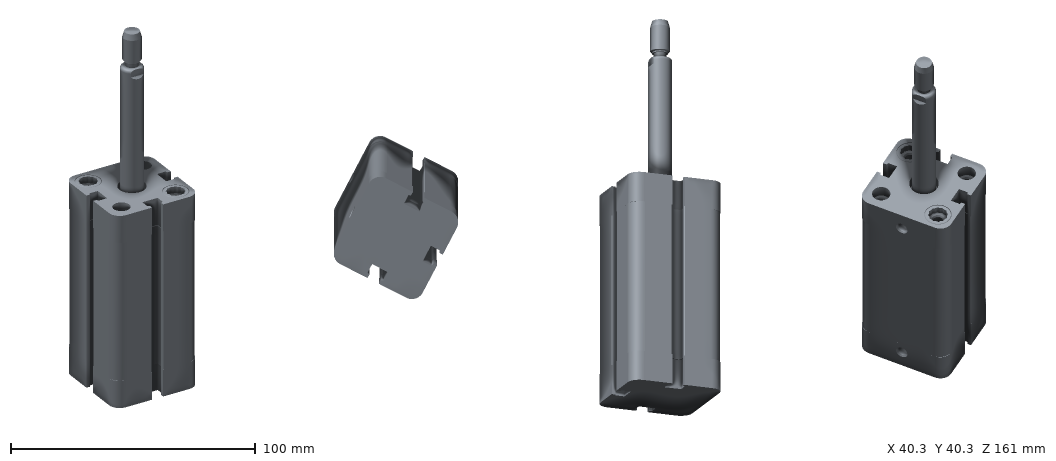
import cadquery as cq
import math

side = 40.3
cap_height = 12.5
barrel_height = 64.0
upper_cap_base = cap_height + barrel_height
housing_height = upper_cap_base + cap_height
cap_corner_radius = 5.0
barrel_corner_radius = 5.5

slot_side_angles = (-90, 0, 90)
slot_opening = 5.3
slot_lip = 1.6
slot_shoulder_run = 0.4
cap_slot_width = 7.3
cap_slot_depth = 6.0
barrel_slot_width = 6.8
barrel_slot_depth = 5.6
barrel_lip_bevel = 0.35

port_distance = 7.7
port_diameter = 5.3
port_core_diameter = 4.13
port_depth = 8.0

corner_offset = 13.0
hole_diameter = 7.5
hole_depth = 5.0
thread_diameter = 5.3
thread_core_diameter = 4.13
plain_corners = [(-corner_offset, corner_offset), (corner_offset, -corner_offset)]
socket_corners = [(-corner_offset, -corner_offset), (corner_offset, corner_offset)]

collar_diameter = 11.1
collar_rim_diameter = 10.48
collar_bevel_depth = 0.3
socket_diameter = 8.2
socket_inner_diameter = 7.5
socket_teeth = 12
socket_depth = 3.0

mouth_diameter = 12.0
mouth_inner_diameter = 11.1
mouth_depth = 4.0

rod_radius = 5.0
rod_top = 161.0
tip_radius = 4.0
tip_end_radius = 3.25
tip_bevel_height = 2.6
tip_bottom = rod_top - 12.9
tip_lower_bevel = 0.4
tip_collar_height = 0.5
neck_radius = 2.65
shoulder_height = rod_top - 15.9
shoulder_rounding = 1.4
flat_distance = 4.0
flat_bottom = rod_top - 19.1


def slot_cutter(width, depth, lip_bevel):
    """T-slot in the +X side, with a bevelled mouth if lip_bevel is not zero."""
    face = side / 2
    lip_back = face - slot_lip
    upper_half = [
        (face, slot_opening / 2 + lip_bevel),
        (face - lip_bevel, slot_opening / 2),
        (lip_back, slot_opening / 2),
        (lip_back - slot_shoulder_run, width / 2),
        (face - depth, width / 2),
    ]
    if lip_bevel == 0:
        upper_half.pop(0)
    lower_half = [(x, -y) for x, y in reversed(upper_half)]
    return cq.Workplane("XY").polyline(upper_half + lower_half).close().extrude(housing_height)


def slotted_block(height, corner_radius, cutter):
    """Square section with rounded corners and three T-slots, standing on Z = 0."""
    block = cq.Workplane("XY").rect(side, side).extrude(height).edges("|Z").fillet(corner_radius)
    for angle in slot_side_angles:
        block = block.cut(cutter.rotate((0, 0, 0), (0, 0, 1), angle))
    return block


def cone(large_diameter, small_diameter, height):
    """Cone frustum whose large end lies on Z = 0 and which narrows downwards."""
    large = large_diameter / 2
    small = small_diameter / 2
    profile = [(0, 0), (large, 0), (small, -height), (0, -height)]
    return cq.Workplane("XZ").polyline(profile).close().revolve(360, (0, 0), (0, 1))


def cylinder(diameter, depth):
    """Cylinder reaching down from Z = 0."""
    return cq.Workplane("XY").circle(diameter / 2).extrude(-depth)


def threaded_hole(diameter, core_diameter, depth):
    """Core hole with a 45 degree lead-in, reaching down from Z = 0."""
    lead_in = cone(diameter, core_diameter, (diameter - core_diameter) / 2)
    return lead_in.union(cylinder(core_diameter, depth))


def plain_cap(port_z):
    """End cap standing on Z = 0, with its air port in the -X side."""
    cap = slotted_block(cap_height, cap_corner_radius, slot_cutter(cap_slot_width, cap_slot_depth, 0))
    port = threaded_hole(port_diameter, port_core_diameter, port_depth)
    port = port.rotate((0, 0, 0), (0, 1, 0), -90).translate((-side / 2, 0, port_z))
    return cap.cut(port)


def stepped_hole(opening, opening_depth):
    """The opening with a threaded hole below it, reaching from Z = 0 to the bottom of the cap."""
    thread = threaded_hole(thread_diameter, thread_core_diameter, cap_height - opening_depth)
    return opening.union(thread.translate((0, 0, -opening_depth)))


def toothed_socket():
    """Star-shaped prism reaching down from Z = 0."""
    points = []
    for i in range(2 * socket_teeth):
        radius = (socket_diameter if i % 2 == 0 else socket_inner_diameter) / 2
        angle = math.pi * i / socket_teeth
        points.append((radius * math.cos(angle), radius * math.sin(angle)))
    return cq.Workplane("XY").polyline(points).close().extrude(-socket_depth)


def collar_groove():
    """V-shaped ring groove that leaves a bevelled collar around a socket."""
    outer = collar_diameter / 2
    profile = [(collar_rim_diameter / 2, 0), (outer, 0), (outer, -collar_bevel_depth)]
    return cq.Workplane("XZ").polyline(profile).close().revolve(360, (0, 0), (0, 1))


def make_lower_cap():
    return plain_cap(port_distance)


def make_barrel():
    cutter = slot_cutter(barrel_slot_width, barrel_slot_depth, barrel_lip_bevel)
    return slotted_block(barrel_height, barrel_corner_radius, cutter).translate((0, 0, cap_height))


def make_upper_cap():
    cap = plain_cap(cap_height - port_distance).translate((0, 0, upper_cap_base))
    plain_hole = stepped_hole(cylinder(hole_diameter, hole_depth), hole_depth)
    for x, y in plain_corners:
        cap = cap.cut(plain_hole.translate((x, y, housing_height)))
    socket_hole = stepped_hole(toothed_socket(), socket_depth)
    for x, y in socket_corners:
        cap = cap.cut(socket_hole.translate((x, y, housing_height)))
        cap = cap.cut(collar_groove().translate((x, y, housing_height)))
    mouth = cone(mouth_diameter, mouth_inner_diameter, mouth_depth)
    rod_passage = cylinder(2 * rod_radius, cap_height)
    return cap.cut(mouth.union(rod_passage).translate((0, 0, housing_height)))


def make_rod():
    """Turned rod with a rounded shoulder, a neck, a bevelled tip and two wrench flats."""
    shaft = (
        cq.Workplane("XY", origin=(0, 0, upper_cap_base))
        .circle(rod_radius)
        .extrude(shoulder_height - upper_cap_base)
        .faces(">Z")
        .edges()
        .fillet(shoulder_rounding)
    )
    run_out = rod_radius - flat_distance
    flat_profile = [
        (flat_distance, shoulder_height),
        (flat_distance, flat_bottom),
        (rod_radius, flat_bottom - run_out),
        (rod_radius, shoulder_height),
    ]
    flat = cq.Workplane("XZ").polyline(flat_profile).close().extrude(rod_radius, both=True)
    shaft = shaft.cut(flat).cut(flat.mirror("YZ"))

    tip_profile = [
        (0, shoulder_height),
        (neck_radius, shoulder_height),
        (neck_radius, tip_bottom - tip_lower_bevel - tip_collar_height),
        (tip_end_radius, tip_bottom - tip_lower_bevel - tip_collar_height),
        (tip_end_radius, tip_bottom - tip_lower_bevel),
        (tip_radius, tip_bottom),
        (tip_radius, rod_top - tip_bevel_height),
        (tip_end_radius, rod_top),
        (0, rod_top),
    ]
    tip = cq.Workplane("XZ").polyline(tip_profile).close().revolve(360, (0, 0), (0, 1))
    return shaft.union(tip)


lower_cap = make_lower_cap()
barrel = make_barrel()
upper_cap = make_upper_cap()
rod = make_rod()

result = cq.Compound.makeCompound([lower_cap.val(), barrel.val(), upper_cap.val(), rod.val()])